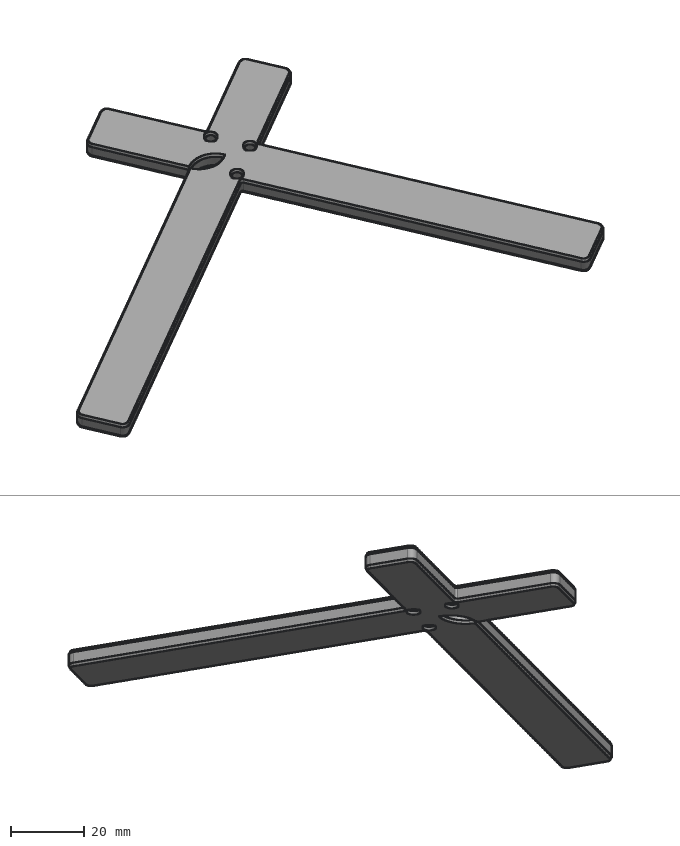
import cadquery as cq

overall_length = 145.0
thickness = 5.0

bar_width = 15.1
half_width = bar_width / 2
short_arm = 30.0
long_arm = overall_length - bar_width - short_arm

end_corner_radius = 2.0
inner_corner_radius = 0.6
chamfer_height = 0.9
chamfer_width = 0.5

hole_rim_radius = 1.9
hole_offset = half_width - hole_rim_radius

leaf_rim_radius = 7.7
leaf_arc_offset = 7.4


def bar(x_min, x_max):
    """Flat bar along X with rounded end corners."""
    blank = cq.Workplane("XY").box(x_max - x_min, bar_width, thickness, centered=(False, True, False))
    return blank.translate((x_min, 0, 0)).edges("|Z").fillet(end_corner_radius)


def crossed_bars():
    """Chamfered cross with the long arms towards +X and -Y."""
    bar_along_x = bar(-half_width - short_arm, half_width + long_arm)
    bar_along_y = bar_along_x.rotate((0, 0, 0), (0, 0, 1), -90)
    cross = bar_along_x.union(bar_along_y)
    reach = half_width + inner_corner_radius
    crossing = cq.selectors.BoxSelector((-reach, -reach, 0), (reach, reach, thickness))
    cross = cross.edges("|Z").edges(crossing).fillet(inner_corner_radius)
    top_chamfered = cross.faces(">Z").edges().chamfer(chamfer_width, chamfer_height)
    bottom_chamfered = top_chamfered.mirror("XY").translate((0, 0, thickness))
    return top_chamfered.intersect(bottom_chamfered)


def round_opening(x, y, rim_radius):
    """Cutter for a round through hole whose rim is chamfered on both flat faces."""
    bore_radius = rim_radius - chamfer_width
    half_profile = [
        (0, 0),
        (rim_radius, 0),
        (bore_radius, chamfer_height),
        (bore_radius, thickness - chamfer_height),
        (rim_radius, thickness),
        (0, thickness),
    ]
    cutter = cq.Workplane("XZ").polyline(half_profile).close().revolve(360, (0, 0), (0, 1))
    return cutter.translate((x, y, 0))


def leaf_opening():
    """Overlap of two round cutters: a leaf from an inner corner to the crossing centre."""
    upper_arc = round_opening(0, -leaf_arc_offset, leaf_rim_radius)
    lower_arc = round_opening(-leaf_arc_offset, 0, leaf_rim_radius)
    return upper_arc.intersect(lower_arc)


result = crossed_bars().cut(leaf_opening())
for x_side, y_side in [(-1, 1), (1, 1), (1, -1)]:
    result = result.cut(round_opening(x_side * hole_offset, y_side * hole_offset, hole_rim_radius))